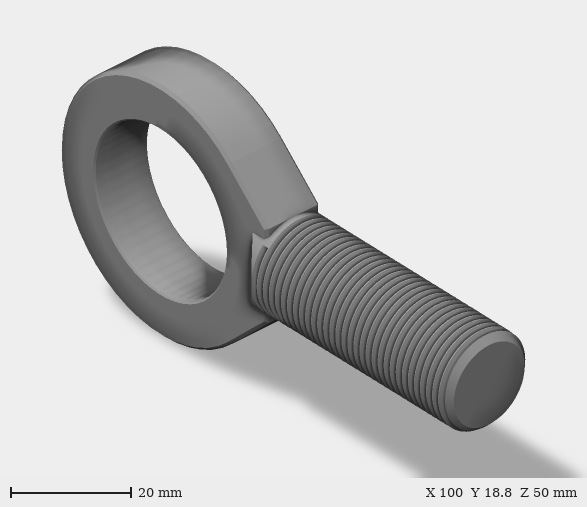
import cadquery as cq
import math

eye_radius = 25.0
bore_radius = 16.3
eye_thickness = 12.0
eye_chamfer = 0.6
bore_chamfer = 0.3
neck_x = 26.4

shank_radius = 9.4
shank_end = 75.0
tip_chamfer = 1.5
shank_bury = 0.6

pitch = 1.5
thread_depth = 0.9
crest_flat = 0.2
thread_flank_angle = 30
thread_start_angle = 45
thread_start_offset = 0.5
cutter_overlap = 0.1
rod_surplus = 5.0
envelope_clearance = 1.0

half_thickness = eye_thickness / 2
neck_distance = math.hypot(neck_x, shank_radius)
tangent_angle = math.atan2(shank_radius, neck_x) + math.acos(eye_radius / neck_distance)
tangent_x = eye_radius * math.cos(tangent_angle)
tangent_z = eye_radius * math.sin(tangent_angle)
root_half_width = half_thickness - shank_bury
root_x = neck_x - (shank_radius - root_half_width)
thread_start = neck_x + thread_start_offset


def make_eye():
    """Teardrop plate with chamfered rims and a chamfered through bore."""
    plate = (
        cq.Workplane("XZ")
        .moveTo(neck_x, shank_radius)
        .lineTo(tangent_x, tangent_z)
        .threePointArc((-eye_radius, 0), (tangent_x, -tangent_z))
        .lineTo(neck_x, -shank_radius)
        .close()
        .extrude(half_thickness, both=True)
        .faces("<Y or >Y")
        .chamfer(eye_chamfer)
    )
    bore = (
        cq.Workplane("XZ", origin=(0, half_thickness, 0))
        .circle(bore_radius)
        .extrude(eye_thickness)
    )
    bored = plate.cut(bore)
    rim_finder = cq.selectors.RadiusNthSelector(0)
    return bored.edges("%CIRCLE").edges(rim_finder).chamfer(bore_chamfer)


def make_thread_groove():
    """Helical V groove along +Z, starting on the +X side at height zero."""
    length = shank_end - thread_start + pitch
    bottom_radius = shank_radius - thread_depth
    outer_radius = shank_radius + cutter_overlap
    flank_slope = math.tan(math.radians(thread_flank_angle))
    mouth_half = (pitch - crest_flat) / 2
    bottom_half = mouth_half - thread_depth * flank_slope
    outer_half = mouth_half + cutter_overlap * flank_slope
    helix = cq.Wire.makeHelix(pitch, length, bottom_radius)
    return (
        cq.Workplane("XZ")
        .polyline([
            (bottom_radius, -bottom_half),
            (outer_radius, -outer_half),
            (outer_radius, outer_half),
            (bottom_radius, bottom_half),
        ])
        .close()
        .sweep(cq.Workplane(obj=helix), isFrenet=True)
    )


def make_shank():
    """Round threaded shank, wedge-shaped at the eye and chamfered at the tip."""
    overlong_rod = (
        cq.Workplane("YZ", origin=(root_x, 0, 0))
        .circle(shank_radius)
        .extrude(shank_end + rod_surplus - root_x)
    )
    groove = (
        make_thread_groove()
        .rotate((0, 0, 0), (0, 1, 0), 90)
        .rotate((0, 0, 0), (1, 0, 0), 180 + thread_start_angle)
        .translate((thread_start, 0, 0))
    )
    envelope_half = shank_radius + envelope_clearance
    wedge_end = root_x + envelope_half - root_half_width
    wedge = (
        cq.Workplane("XY")
        .polyline([
            (root_x, -root_half_width),
            (wedge_end, -envelope_half),
            (shank_end, -envelope_half),
            (shank_end, envelope_half),
            (wedge_end, envelope_half),
            (root_x, root_half_width),
        ])
        .close()
        .extrude(envelope_half, both=True)
    )
    tip_cone = (
        cq.Workplane("XY")
        .polyline([
            (root_x, 0),
            (root_x, envelope_half),
            (shank_end - tip_chamfer - envelope_clearance, envelope_half),
            (shank_end, shank_radius - tip_chamfer),
            (shank_end, 0),
        ])
        .close()
        .revolve(360, (0, 0, 0), (1, 0, 0))
    )
    return overlong_rod.cut(groove).intersect(wedge).intersect(tip_cone)


result = make_eye().union(make_shank())